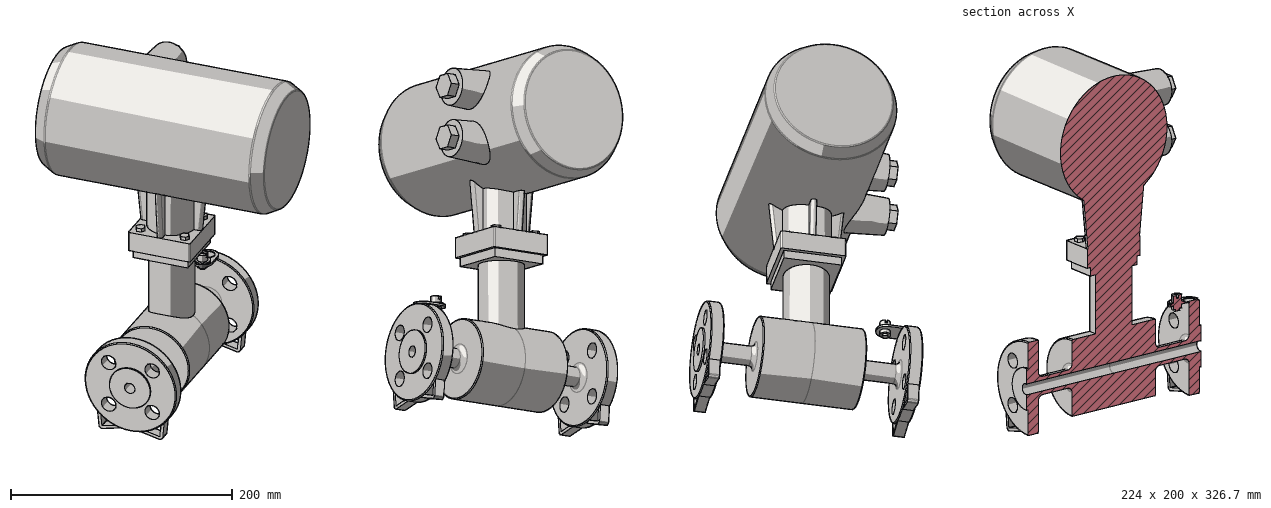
import cadquery as cq
import math


face_to_face = 200.0
bore_diameter = 10.0
pipe_diameter = 18.0
body_diameter = 74.0
body_length = 96.0
body_edge = 1.0
weld_radius = 4.5

flange_diameter = 89.5
flange_thickness = 12.5
flange_edge = 1.0
raised_face_diameter = 40.0
raised_face_height = 1.5
bolt_hole_diameter = 14.0
bolt_circle_diameter = 60.0

foot_width = 10.0
foot_strip = 3.0
foot_bottom = -48.0

tube_diameter = 42.0
plate_bottom = 92.8
plate_size = 53.5
block_bottom = 101.0
block_top = 119.5
block_size = 60.5
block_edge = 1.3
column_diameter = 45.7
rib_thickness = 5.5
rib_base_reach = 30.0
rib_slope = 0.1
rib_top = 176.5
screw_spacing = 43.0
screw_across_flats = 8.0
screw_head_height = 3.3

overall_height = 326.7
housing_diameter = 122.5
housing_length = 224.0
housing_offset = 1.0
housing_axis_z = overall_height + foot_bottom - housing_diameter / 2
housing_bevel_length = 11.8
housing_end_diameter = 110.0
housing_bevel_round = 3.3
housing_end_round = 1.3

gland_x = -36.0
gland_spacing = 47.7
gland_end_y = 82.0
gland_end_diameter = 34.0
gland_draft = 3.3
gland_length = 55.5
gland_nut_across_flats = 20.3
gland_nut_length = 8.8

terminal_width = 18.5
terminal_inner_y = 64.7
terminal_outer_y = 96.5
terminal_bottom = 44.5
terminal_thickness = 2.0
ground_screw_y = 73.2
symbol_recess_diameter = 11.8
symbol_recess_depth = 0.5
symbol_recess_y = 87.5
washer_diameter = 14.7
washer_thickness = 1.3
ground_head_diameter = 9.8
ground_head_height = 8.0
ground_slot_width = 2.0
ground_slot_depth = 3.0
ground_nut_height = 3.5
ground_stud_diameter = 5.5
ground_stud_length = 5.5

flange_outer_y = face_to_face / 2 - raised_face_height
flange_inner_y = flange_outer_y - flange_thickness


def cylinder_z(diameter, z_from, z_to):
    return cq.Workplane("XY").workplane(offset=z_from).circle(diameter / 2).extrude(z_to - z_from)


def box_z(size, z_from, z_to):
    return cq.Workplane("XY").workplane(offset=z_from).rect(size, size).extrude(z_to - z_from)


def hexagon_diameter(across_flats):
    return across_flats / math.cos(math.pi / 6)


def flow_body():
    body = cq.Workplane("XZ").circle(body_diameter / 2).extrude(body_length / 2, both=True)
    return body.edges().chamfer(body_edge)


def flow_branch():
    """Solid of revolution on the +Y side: pipe with concave welds, flange and raised face."""
    pipe_r = pipe_diameter / 2
    weld_r = pipe_r + weld_radius
    weld_mid = weld_radius * (1 - math.sqrt(0.5))
    flange_r = flange_diameter / 2
    body_y = body_length / 2
    return (
        cq.Workplane("XY")
        .moveTo(0, body_y)
        .lineTo(weld_r, body_y)
        .threePointArc((pipe_r + weld_mid, body_y + weld_mid), (pipe_r, body_y + weld_radius))
        .lineTo(pipe_r, flange_inner_y - weld_radius)
        .threePointArc((pipe_r + weld_mid, flange_inner_y - weld_mid), (weld_r, flange_inner_y))
        .lineTo(flange_r - flange_edge, flange_inner_y)
        .lineTo(flange_r, flange_inner_y + flange_edge)
        .lineTo(flange_r, flange_outer_y - flange_edge)
        .lineTo(flange_r - flange_edge, flange_outer_y)
        .lineTo(raised_face_diameter / 2, flange_outer_y)
        .lineTo(raised_face_diameter / 2, face_to_face / 2)
        .lineTo(0, face_to_face / 2)
        .close()
        .revolve(360, (0, 0, 0), (0, 1, 0))
    )


def foot():
    """Strip bent to a V below the +Y flange, on the +X side; both ends run into the flange rim."""
    strip_line = [(31.5, -28.0), (29.7, -45.5), (28.5, foot_bottom + foot_strip / 2), (8.2, -41.8)]
    return (
        cq.Workplane("XZ", origin=(0, flange_outer_y - flange_edge, 0))
        .polyline(strip_line)
        .offset2D(foot_strip / 2)
        .extrude(foot_width)
    )


def rib():
    """Tapered web on the +X side of the column, its outer edge rounded, ending inside the housing."""
    half = rib_thickness / 2
    base_flat = rib_base_reach - half
    top_flat = base_flat + rib_slope * (rib_top - block_top)

    def section(web, flat):
        return (
            web.moveTo(0, -half)
            .lineTo(flat, -half)
            .threePointArc((flat + half, 0), (flat, half))
            .lineTo(0, half)
            .close()
        )

    base = section(cq.Workplane("XY", origin=(0, 0, block_top)), base_flat)
    return section(base.workplane(offset=rib_top - block_top), top_flat).loft(ruled=True)


def neck():
    tube = cylinder_z(tube_diameter, 0, plate_bottom)
    plate = box_z(plate_size, plate_bottom, block_bottom)
    block = box_z(block_size, block_bottom, block_top).edges("|Z").fillet(block_edge)
    column = cylinder_z(column_diameter, block_top, rib_top)
    screws = (
        cq.Workplane("XY")
        .workplane(offset=block_top)
        .rect(screw_spacing, screw_spacing, forConstruction=True)
        .vertices()
        .polygon(6, hexagon_diameter(screw_across_flats))
        .extrude(screw_head_height)
    )
    shape = tube.union(plate).union(block).union(column).union(screws)
    for quarter in range(4):
        shape = shape.union(rib().rotate((0, 0, 0), (0, 0, 1), 90 * quarter))
    return shape


def housing():
    """Cylinder along X with conical ends."""
    half = housing_length / 2
    shoulder = half - housing_bevel_length
    profile = (
        cq.Workplane("XY")
        .moveTo(-half, 0)
        .lineTo(-half, housing_end_diameter / 2)
        .lineTo(-shoulder, housing_diameter / 2)
        .lineTo(shoulder, housing_diameter / 2)
        .lineTo(half, housing_end_diameter / 2)
        .lineTo(half, 0)
        .close()
    )
    drum = profile.revolve(360, (0, 0, 0), (1, 0, 0))
    drum = drum.faces("<X or >X").edges().fillet(housing_end_round)
    shoulders = cq.selectors.RadiusNthSelector(-1)
    drum = drum.edges("%CIRCLE").edges(shoulders).fillet(housing_bevel_round)
    return drum.translate((housing_offset, 0, housing_axis_z))


def gland(z):
    """Conical boss pointing to +Y with a hexagonal plug."""
    plane = cq.Workplane("XZ", origin=(gland_x, gland_end_y, z))
    cone = plane.circle(gland_end_diameter / 2).extrude(gland_length, taper=-gland_draft)
    plug = plane.polygon(6, hexagon_diameter(gland_nut_across_flats)).extrude(-gland_nut_length)
    return cone.union(plug)


def grounding_terminal():
    """Round-ended lug on top of the +Y flange with a slotted screw, washer and nut."""
    lug_top = terminal_bottom + terminal_thickness
    head_bottom = lug_top + washer_thickness
    head_top = lug_top + ground_head_height
    lug = (
        cq.Workplane("XY", origin=(0, (terminal_inner_y + terminal_outer_y) / 2, terminal_bottom))
        .slot2D(terminal_outer_y - terminal_inner_y, terminal_width, 90)
        .extrude(terminal_thickness)
    )
    washer = cylinder_z(washer_diameter, lug_top, head_bottom)
    head = cylinder_z(ground_head_diameter, head_bottom, head_top)
    slot = cq.Workplane("XY", origin=(0, 0, head_top)).box(
        ground_head_diameter, ground_slot_width, 2 * ground_slot_depth
    )
    nut = cylinder_z(ground_head_diameter, terminal_bottom - ground_nut_height, terminal_bottom)
    stud = cylinder_z(ground_stud_diameter, terminal_bottom - ground_stud_length, terminal_bottom)
    screw = washer.union(head.cut(slot)).union(nut).union(stud)
    symbol_recess = cylinder_z(symbol_recess_diameter, lug_top - symbol_recess_depth, lug_top)
    lug = lug.cut(symbol_recess.translate((0, symbol_recess_y, 0)))
    return lug.union(screw.translate((0, ground_screw_y, 0)))


branch = flow_branch().union(foot()).union(foot().mirror("YZ"))
result = flow_body().union(branch).union(branch.mirror("XZ"))
result = result.union(neck()).union(housing())
for side in (-1, 1):
    result = result.union(gland(housing_axis_z + side * gland_spacing / 2))
result = result.union(grounding_terminal())

bore = cq.Workplane("XZ").circle(bore_diameter / 2).extrude(face_to_face / 2, both=True)
bolt_holes = (
    cq.Workplane("XZ", origin=(0, flange_inner_y, 0))
    .polarArray(bolt_circle_diameter / 2, 45, 360, 4)
    .circle(bolt_hole_diameter / 2)
    .extrude(-flange_thickness)
)
result = result.cut(bore).cut(bolt_holes).cut(bolt_holes.mirror("XZ"))